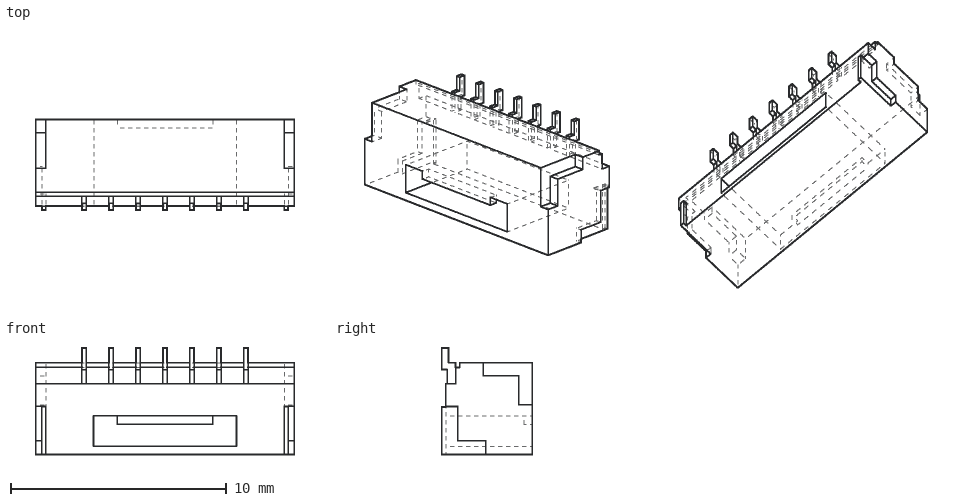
import cadquery as cq


length = 12.0
housing_depth = 4.02
housing_height = 4.26
shelf_depth = 0.47
shelf_height = 3.29
groove_width = 0.18
groove_depth = 0.22

pin_count = 7
pin_pitch = 1.25
pin_width = 0.2
pin_setback = 0.07
pin_tail_back = 0.15
pin_tail_bottom = 3.94
pin_top = 4.95
front_reach = 0.18

end_notch_width = 0.48
rear_notch_front = 1.75
rear_notch_floor = 3.65
rear_leg_front = 3.4
rear_leg_floor = 2.3

front_leg_depth = 0.58
front_leg_height = 2.23
front_foot_depth = 1.86
front_foot_height = 0.65
tab_thickness = 0.18
tab_clearance = 0.02

slot_length = 6.62
slot_floor = 0.4
slot_roof = 1.8
lip_length = 4.44
lip_drop = 0.4
lip_thickness = 0.4


def extrude_along_x(points, start, width):
    """Prism from a closed (Y, Z) outline, from X = start to start + width."""
    return cq.Workplane("YZ", origin=(start, 0, 0)).polyline(points).close().extrude(width)


def centred_block(width, y_start, y_end, z_start, z_end):
    """Block centred on X = 0 between the given Y and Z limits."""
    block = cq.Workplane("XY").box(width, y_end - y_start, z_end - z_start, centered=(True, False, False))
    return block.translate((0, y_start, z_start))


def make_housing():
    groove_back = shelf_depth + groove_width
    groove_floor = housing_height - groove_depth
    profile = [
        (0, 0),
        (0, shelf_height),
        (shelf_depth, shelf_height),
        (shelf_depth, groove_floor),
        (groove_back, groove_floor),
        (groove_back, housing_height),
        (housing_depth, housing_height),
        (housing_depth, 0),
    ]
    return extrude_along_x(profile, -length / 2, length)


def make_rear_notch():
    """Cutter for the notch at the -X end."""
    profile = [
        (rear_notch_front, housing_height),
        (rear_notch_front, rear_notch_floor),
        (rear_leg_front, rear_notch_floor),
        (rear_leg_front, rear_leg_floor),
        (housing_depth, rear_leg_floor),
        (housing_depth, housing_height),
    ]
    return extrude_along_x(profile, -length / 2, end_notch_width)


def front_l_profile(front, leg_height):
    """L outline with an upright leg at the front and a foot running back."""
    return [
        (front, 0),
        (front, leg_height),
        (front_leg_depth, leg_height),
        (front_leg_depth, front_foot_height),
        (front_foot_depth, front_foot_height),
        (front_foot_depth, 0),
    ]


def make_front_notch():
    """Cutter for the notch at the -X end."""
    return extrude_along_x(front_l_profile(0, front_leg_height), -length / 2, end_notch_width)


def make_tab():
    """Solder tab against the inner wall of the front notch at the -X end."""
    profile = front_l_profile(-front_reach, front_leg_height - tab_clearance)
    start = -length / 2 + end_notch_width - tab_thickness
    return extrude_along_x(profile, start, tab_thickness)


def make_slot():
    """Cutter for the slot, leaving the rear lip standing."""
    slot = centred_block(slot_length, 0, housing_depth, slot_floor, slot_roof)
    lip = centred_block(
        lip_length, housing_depth - lip_thickness, housing_depth, slot_roof - lip_drop, slot_roof
    )
    return slot.cut(lip)


def make_pin(center):
    profile = [
        (shelf_depth, shelf_height),
        (shelf_depth, housing_height),
        (pin_tail_back, housing_height),
        (pin_tail_back, pin_top),
        (-front_reach, pin_top),
        (-front_reach, pin_tail_bottom),
        (pin_setback, pin_tail_bottom),
        (pin_setback, shelf_height),
    ]
    return extrude_along_x(profile, center - pin_width / 2, pin_width)


def on_both_ends(shape):
    """The shape together with its mirror image at the +X end."""
    return shape.union(shape.mirror("YZ"))


result = make_housing()
result = result.cut(on_both_ends(make_rear_notch()))
result = result.cut(on_both_ends(make_front_notch()))
result = result.cut(make_slot())
result = result.union(on_both_ends(make_tab()))

for index in range(pin_count):
    pin_center = (index - (pin_count - 1) / 2) * pin_pitch
    result = result.union(make_pin(pin_center))